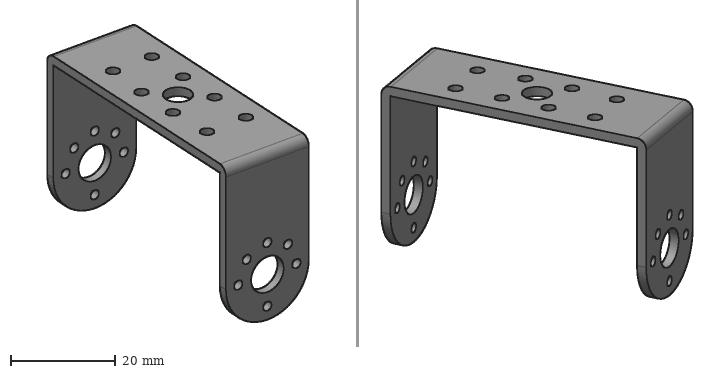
import cadquery as cq
import math

length = 57.0
width = 20.0
height = 36.9
thickness = 2.0
bend_radius = thickness

end_radius = width / 2
pivot_height = end_radius
pivot_diameter = 7.8
screw_diameter = 2.0
screw_circle_radius = 7.0
screw_angles = (0, 45, 90, 135, 180, 270)

center_diameter = 5.8
mount_diameter = 2.8
inner_mount_x = 5.0
outer_mount_x = 15.0
mount_y = 5.0
outer_front_y = -4.35


def bracket_body():
    """U-shaped sheet, rounded outside the bends and sharp inside."""
    block = cq.Workplane("XY").box(length, width, height, centered=(True, True, False))
    block = block.edges("|Y and >Z").fillet(bend_radius)
    inside = cq.Workplane("XY").box(
        length - 2 * thickness, width, height - thickness, centered=(True, True, False)
    )
    return block.cut(inside)


def leg_outline():
    """Side silhouette with a semicircular lower end, extended along X."""
    return (
        cq.Workplane("YZ", origin=(-length / 2, 0, 0))
        .moveTo(-end_radius, height)
        .lineTo(-end_radius, pivot_height)
        .threePointArc((0, 0), (end_radius, pivot_height))
        .lineTo(end_radius, height)
        .close()
        .extrude(length)
    )


def leg_holes():
    """Pivot and screw holes running through both legs."""
    screw_points = [
        (
            screw_circle_radius * math.cos(math.radians(angle)),
            screw_circle_radius * math.sin(math.radians(angle)),
        )
        for angle in screw_angles
    ]
    plane = cq.Workplane("YZ", origin=(-length / 2, 0, pivot_height))
    pivot = plane.circle(pivot_diameter / 2).extrude(length)
    screws = plane.pushPoints(screw_points).circle(screw_diameter / 2).extrude(length)
    return pivot.union(screws)


def top_holes():
    """Central hole and eight mounting holes through the top plate."""
    mount_points = []
    for side in (-1, 1):
        mount_points += [
            (side * inner_mount_x, mount_y),
            (side * inner_mount_x, -mount_y),
            (side * outer_mount_x, mount_y),
            (side * outer_mount_x, outer_front_y),
        ]
    plane = cq.Workplane("XY", origin=(0, 0, height - thickness))
    center = plane.circle(center_diameter / 2).extrude(thickness)
    mounts = plane.pushPoints(mount_points).circle(mount_diameter / 2).extrude(thickness)
    return center.union(mounts)


result = bracket_body().intersect(leg_outline()).cut(leg_holes()).cut(top_holes())